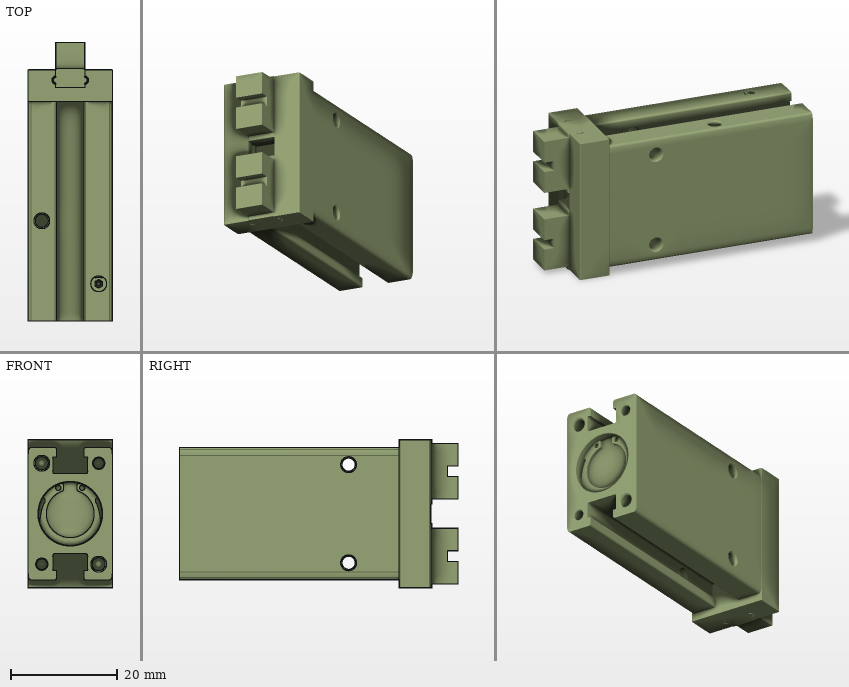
import cadquery as cq
import math


WIDTH = 16.0
BODY_HEIGHT = 25.0
BODY_LENGTH = 41.45
HEAD_HEIGHT = 28.0
HEAD_FRONT = 47.45
HEAD_FRONT_RADIUS = 0.25
HEAD_REAR_RADIUS = 0.13
CORNER_SIDE_DROP = 1.45
CORNER_TOP_DROP = 0.4
CORNER_SIDE_INSET = 0.15
CORNER_TOP_INSET = 0.65
half_width = WIDTH / 2
body_top = BODY_HEIGHT / 2
head_top = HEAD_HEIGHT / 2

SLOT_NECK_WIDTH = 5.2
SLOT_WIDTH = 6.5
SLOT_LIP = 1.8
SLOT_DEPTH = 4.95
SLOT_MOUTH_RADIUS = 0.3
SLOT_FLOOR_RADIUS = 0.3

BORE_DIAMETER = 12.0
BORE_CHAMFER = 0.1
RING_RECESS = 1.5
RING_THICKNESS = 0.65
RING_INNER_DIAMETER = 9.05
RING_GAP = 2.65
LUG_CORNER_RADIUS = 0.3
LUG_HOLE_DIAMETER = 1.0
LUG_HOLE_X = 2.25
LUG_HOLE_Z = 4.9
RELIEF_TAIL = (5.75, -1.7)
RELIEF_MIDDLE = (5.6, -0.15)
RELIEF_NECK = (5.0, 1.95)
RELIEF_NOSE = (4.75, 2.6)
RELIEF_HEAD = (5.1, 3.1)

LARGE_HOLE_DIAMETER = 2.45
SMALL_HOLE_DIAMETER = 2.0
HOLE_CHAMFER = 0.25
SMALL_HOLE_CHAMFER = 0.15
HOLE_X = 5.35
REAR_HOLE_Z = 9.5
REAR_HOLE_DEPTH = 5.0
SIDE_HOLE_Y = 31.95
SIDE_HOLE_Z = 9.25
PORT_Y = 18.95
PORT_DEPTH = 5.25

SCREW_Y = 7.05
SCREW_DIAMETER = LARGE_HOLE_DIAMETER + 2 * HOLE_CHAMFER
SCREW_LENGTH = 3.15
SCREW_FLAT_DISTANCE = 1.15
HEX_FLATS = 1.4
HEX_DEPTH = 1.3
DRILL_DIAMETER = 0.8

TIP_Y = 52.6
JAW_WIDTH = 5.5
SLIDER_REAR = 44.0
SLIDER_FRONT = 47.65
SLIDER_INNER_Z = 1.85
SLIDER_CHAMFER = 0.2
RIB_RADIUS = 0.6
GROOVE_RADIUS = 0.8
RIB_X = 2.65
RIB_Y = 45.45
FINGER_LENGTH = 10.5
FINGER_CENTER_Z = 8.0
NOTCH_WIDTH = 1.95
NOTCH_DEPTH = 2.0


def rear_plane(y):
    """X-Z workplane at the given Y; a negative extrusion runs forward (+Y)."""
    return cq.Workplane("XZ", origin=(0, y, 0))


def countersunk_hole(mouth, direction, diameter, depth, chamfer=HOLE_CHAMFER):
    """Cutter for a flat-bottomed hole with a 45 degree countersink at its mouth."""
    point = cq.Vector(*mouth)
    axis = cq.Vector(*direction)
    radius = diameter / 2
    bore = cq.Solid.makeCylinder(radius, depth, point, axis)
    countersink = cq.Solid.makeCone(radius + chamfer, radius, chamfer, point, axis)
    return bore.fuse(countersink)


def body_block():
    """Slotless extrusion whose long edges have a shallow flank arc and a tight top arc."""
    flank = (half_width - CORNER_SIDE_INSET, body_top - CORNER_TOP_DROP)
    quarter = (
        rear_plane(0)
        .lineTo(half_width, 0)
        .lineTo(half_width, body_top - CORNER_SIDE_DROP)
        .tangentArcPoint(flank, relative=False)
        .tangentArcPoint((half_width - CORNER_TOP_INSET, body_top), relative=False)
        .lineTo(0, body_top)
        .close()
        .extrude(-BODY_LENGTH)
    )
    upper_half = quarter.union(quarter.mirror("YZ"))
    return upper_half.union(upper_half.mirror("XY"))


def head_block():
    """Cross head with rounded vertical edges."""
    return (
        cq.Workplane("XY", origin=(0, 0, -head_top))
        .center(0, (BODY_LENGTH + HEAD_FRONT) / 2)
        .rect(WIDTH, HEAD_FRONT - BODY_LENGTH)
        .extrude(HEAD_HEIGHT)
        .edges("|Z and >Y")
        .fillet(HEAD_FRONT_RADIUS)
        .edges("|Z and <Y")
        .fillet(HEAD_REAR_RADIUS)
    )


def top_slot():
    """Cutter for the T-slot along the top of the body, with rounded floor corners and mouth."""
    neck = SLOT_NECK_WIDTH / 2
    lip_z = body_top - SLOT_LIP
    floor_z = body_top - SLOT_DEPTH
    channel = (
        rear_plane(0)
        .center(0, (lip_z + floor_z) / 2)
        .rect(SLOT_WIDTH, lip_z - floor_z)
        .extrude(-BODY_LENGTH)
        .edges("|Y and <Z")
        .fillet(SLOT_FLOOR_RADIUS)
    )
    half_mouth = (
        rear_plane(0)
        .moveTo(0, lip_z)
        .lineTo(neck, lip_z)
        .lineTo(neck, body_top - SLOT_MOUTH_RADIUS)
        .tangentArcPoint((neck + SLOT_MOUTH_RADIUS, body_top), relative=False)
        .lineTo(0, body_top)
        .close()
        .extrude(-BODY_LENGTH)
    )
    return channel.union(half_mouth).union(half_mouth.mirror("YZ"))


def rear_bore():
    """Cutter for the chamfered bore in the rear face."""
    bore = rear_plane(0).circle(BORE_DIAMETER / 2).extrude(-(RING_RECESS + RING_THICKNESS))
    mouth = cq.Solid.makeCone(
        BORE_DIAMETER / 2 + BORE_CHAMFER,
        BORE_DIAMETER / 2,
        BORE_CHAMFER,
        cq.Vector(0, 0, 0),
        cq.Vector(0, 1, 0),
    )
    return bore.union(cq.Workplane(mouth))


def ring_relief():
    """Cutter for the tapering relief in the right flank of the retaining ring."""
    return (
        rear_plane(RING_RECESS)
        .moveTo(*RELIEF_TAIL)
        .threePointArc(RELIEF_MIDDLE, RELIEF_NECK)
        .threePointArc(RELIEF_NOSE, RELIEF_HEAD)
        .lineTo(BORE_DIAMETER / 2, RELIEF_HEAD[1])
        .lineTo(BORE_DIAMETER / 2, RELIEF_TAIL[1])
        .close()
        .extrude(-RING_THICKNESS)
    )


def retaining_ring():
    """Open ring standing on the bore floor, with a hole beside each end of its gap."""
    gap_height = BORE_DIAMETER / 2
    gap_box = ((-RING_GAP, 0, 0), (RING_GAP, RING_RECESS + RING_THICKNESS, gap_height))
    relief = ring_relief()
    return (
        rear_plane(RING_RECESS)
        .circle(BORE_DIAMETER / 2)
        .circle(RING_INNER_DIAMETER / 2)
        .extrude(-RING_THICKNESS)
        .cut(
            rear_plane(RING_RECESS)
            .center(0, gap_height / 2)
            .rect(RING_GAP, gap_height)
            .extrude(-RING_THICKNESS)
        )
        .faces(cq.selectors.BoxSelector(*gap_box))
        .edges("|Y")
        .fillet(LUG_CORNER_RADIUS)
        .cut(
            rear_plane(RING_RECESS)
            .pushPoints([(-LUG_HOLE_X, LUG_HOLE_Z), (LUG_HOLE_X, LUG_HOLE_Z)])
            .circle(LUG_HOLE_DIAMETER / 2)
            .extrude(-RING_THICKNESS)
        )
        .cut(relief)
        .cut(relief.mirror("YZ"))
    )


def body_holes():
    """Cutters for all the countersunk holes of the body."""
    holes = []
    for side in (-1, 1):
        for level in (-1, 1):
            diameter, chamfer = LARGE_HOLE_DIAMETER, HOLE_CHAMFER
            if side == level:
                diameter, chamfer = SMALL_HOLE_DIAMETER, SMALL_HOLE_CHAMFER
            mouth = (side * HOLE_X, 0, level * REAR_HOLE_Z)
            holes.append(countersunk_hole(mouth, (0, 1, 0), diameter, REAR_HOLE_DEPTH, chamfer))
            mouth = (side * half_width, SIDE_HOLE_Y, level * SIDE_HOLE_Z)
            holes.append(countersunk_hole(mouth, (-side, 0, 0), LARGE_HOLE_DIAMETER, half_width))
    port_mouth = (-HOLE_X, PORT_Y, body_top)
    screw_mouth = (HOLE_X, SCREW_Y, body_top)
    holes.append(countersunk_hole(port_mouth, (0, 0, -1), LARGE_HOLE_DIAMETER, PORT_DEPTH))
    holes.append(countersunk_hole(screw_mouth, (0, 0, -1), LARGE_HOLE_DIAMETER, SCREW_LENGTH))
    return holes


def make_housing():
    """Body and head in one piece, with slots, guide, bore, retaining ring and holes."""
    slot = top_slot()
    housing = body_block().cut(slot).cut(slot.mirror("XY"))
    housing = housing.union(head_block())
    housing = housing.cut(slider_bar(-head_top, HEAD_HEIGHT, GROOVE_RADIUS))
    housing = housing.cut(rear_bore()).union(retaining_ring())
    for hole in body_holes():
        housing = housing.cut(cq.Workplane(hole))
    return housing


def slider_bar(bottom_z, height, rib_radius):
    """Bar along Z with a round rib on each side and chamfered front edges."""
    base = cq.Workplane("XY", origin=(0, 0, bottom_z))
    bar = (
        base.center(0, (SLIDER_REAR + SLIDER_FRONT) / 2)
        .rect(JAW_WIDTH, SLIDER_FRONT - SLIDER_REAR)
        .extrude(height)
        .edges("|Z and >Y")
        .chamfer(SLIDER_CHAMFER)
    )
    ribs = base.pushPoints([(-RIB_X, RIB_Y), (RIB_X, RIB_Y)]).circle(rib_radius).extrude(height)
    return bar.union(ribs)


def make_jaw(side):
    """Slider with its notched finger, above (side 1) or below (side -1) the mid-plane."""
    slider = slider_bar(SLIDER_INNER_Z, head_top - SLIDER_INNER_Z, RIB_RADIUS)
    finger = cq.Workplane("XY").box(JAW_WIDTH, TIP_Y - SLIDER_REAR, FINGER_LENGTH)
    finger = finger.translate((0, (TIP_Y + SLIDER_REAR) / 2, FINGER_CENTER_Z))
    notch = cq.Workplane("XY").box(JAW_WIDTH, NOTCH_DEPTH, NOTCH_WIDTH)
    notch = notch.translate((0, TIP_Y - NOTCH_DEPTH / 2, FINGER_CENTER_Z))
    jaw = slider.union(finger).cut(notch)
    return jaw if side > 0 else jaw.mirror("XY")


def make_set_screw():
    """Screw filling its threaded hole, with a flat on the head and a hexagon socket."""
    mouth = (HOLE_X, SCREW_Y, body_top)
    screw = cq.Workplane(countersunk_hole(mouth, (0, 0, -1), LARGE_HOLE_DIAMETER, SCREW_LENGTH))
    top = cq.Workplane("XY", origin=mouth)
    flat = (
        top.center(0, SCREW_FLAT_DISTANCE + SCREW_DIAMETER / 2)
        .rect(SCREW_DIAMETER, SCREW_DIAMETER)
        .extrude(-HOLE_CHAMFER)
    )
    hexagon = top.transformed(rotate=(0, 0, 90)).polygon(6, HEX_FLATS / math.cos(math.pi / 6))
    socket = hexagon.extrude(-HEX_DEPTH)
    socket_floor = cq.Vector(HOLE_X, SCREW_Y, body_top - HEX_DEPTH)
    taper_depth = (HEX_FLATS - DRILL_DIAMETER) / 2
    taper = cq.Solid.makeCone(
        HEX_FLATS / 2, DRILL_DIAMETER / 2, taper_depth, socket_floor, cq.Vector(0, 0, -1)
    )
    return screw.cut(flat).cut(socket).cut(cq.Workplane(taper))


housing = make_housing()
jaws = [make_jaw(side) for side in (1, -1)]
set_screw = make_set_screw()

result = cq.Compound.makeCompound([housing.val(), *[jaw.val() for jaw in jaws], set_screw.val()])